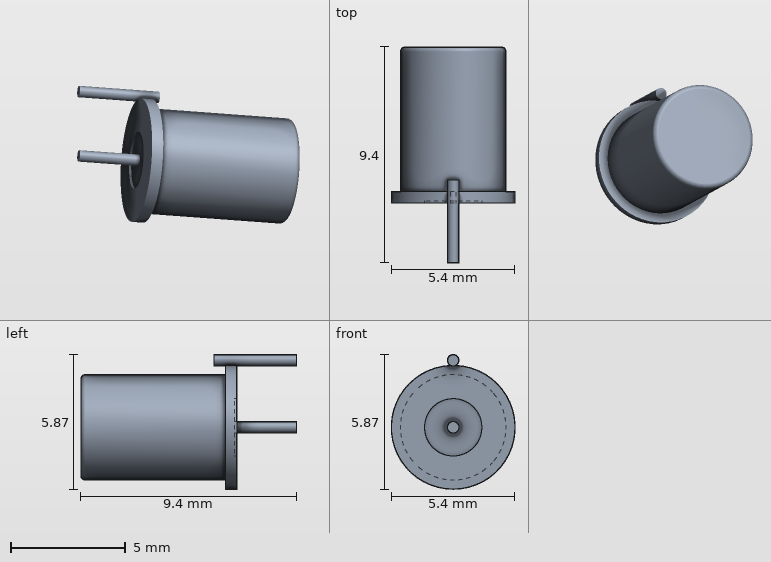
import cadquery as cq

flange_diameter = 5.4
flange_thickness = 0.5
can_diameter = 4.6
can_length = 6.3
can_edge_radius = 0.2

recess_diameter = 2.5
recess_depth = 0.1

pin_diameter = 0.5
pin_reach = 2.6
ground_pin_length = 3.6
overall_height = 5.87

can_back = flange_thickness + can_length
ground_pin_height = overall_height - flange_diameter / 2 - pin_diameter / 2


def cylinder_along_y(diameter, start, end, height=0):
    """Cylinder parallel to Y from start to end, with its axis at the given Z."""
    return (
        cq.Workplane("XZ", origin=(0, start, height))
        .circle(diameter / 2)
        .extrude(start - end)
    )


def make_shell():
    """Flange and can with a rounded back rim and a shallow recess in the front face."""
    can = cylinder_along_y(can_diameter, 0, can_back)
    can = can.faces(">Y").edges().fillet(can_edge_radius)
    flange = cylinder_along_y(flange_diameter, 0, flange_thickness)
    recess = cylinder_along_y(recess_diameter, 0, recess_depth)
    return flange.union(can).cut(recess)


center_pin = cylinder_along_y(pin_diameter, -pin_reach, recess_depth)
ground_pin = cylinder_along_y(
    pin_diameter, -pin_reach, ground_pin_length - pin_reach, ground_pin_height
)

result = make_shell().union(center_pin).union(ground_pin)